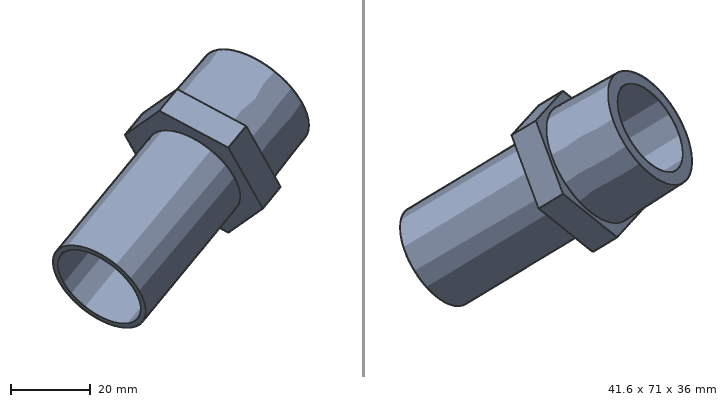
import cadquery as cq
import math

total_length = 71.0
tube_length = 42.95
hex_length = 8.1
taper_length = total_length - tube_length - hex_length

tube_diameter = 28.0
bore_diameter = 25.0
hex_across_flats = 36.0
hex_across_corners = hex_across_flats / math.cos(math.pi / 6)
taper_large_diameter = 33.4
taper_small_diameter = 32.2


def plane_at(y):
    """Cross-section plane at position y, with its normal along +Y."""
    return cq.Workplane(cq.Plane(origin=(0, y, 0), xDir=(1, 0, 0), normal=(0, 1, 0)))


def tube():
    return plane_at(0).circle(tube_diameter / 2).extrude(tube_length)


def hex_collar():
    return plane_at(tube_length).polygon(6, hex_across_corners).extrude(hex_length)


def tapered_end():
    return (
        plane_at(tube_length + hex_length)
        .circle(taper_large_diameter / 2)
        .workplane(offset=taper_length)
        .circle(taper_small_diameter / 2)
        .loft(ruled=True)
    )


def bore():
    return plane_at(0).circle(bore_diameter / 2).extrude(total_length)


result = tube().union(hex_collar()).union(tapered_end()).cut(bore())